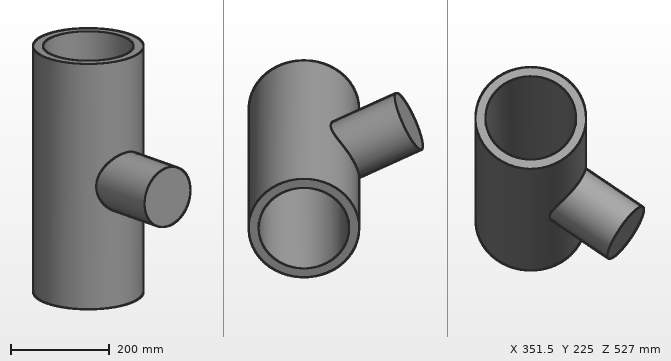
import cadquery as cq

pipe_length = 527.0
pipe_diameter = 225.0
pipe_wall = 20.5
pipe_bore = pipe_diameter - 2 * pipe_wall

overall_width = 351.5
branch_diameter = 126.5
branch_reach = overall_width - pipe_diameter / 2


def upright_cylinder(diameter):
    """Cylinder as long as the main pipe, on the pipe axis."""
    return cq.Workplane("XY").circle(diameter / 2).extrude(pipe_length / 2, both=True)


def branch():
    """Branch from the pipe axis out to its end face."""
    return cq.Workplane("YZ").circle(branch_diameter / 2).extrude(branch_reach)


result = upright_cylinder(pipe_diameter).union(branch()).cut(upright_cylinder(pipe_bore))